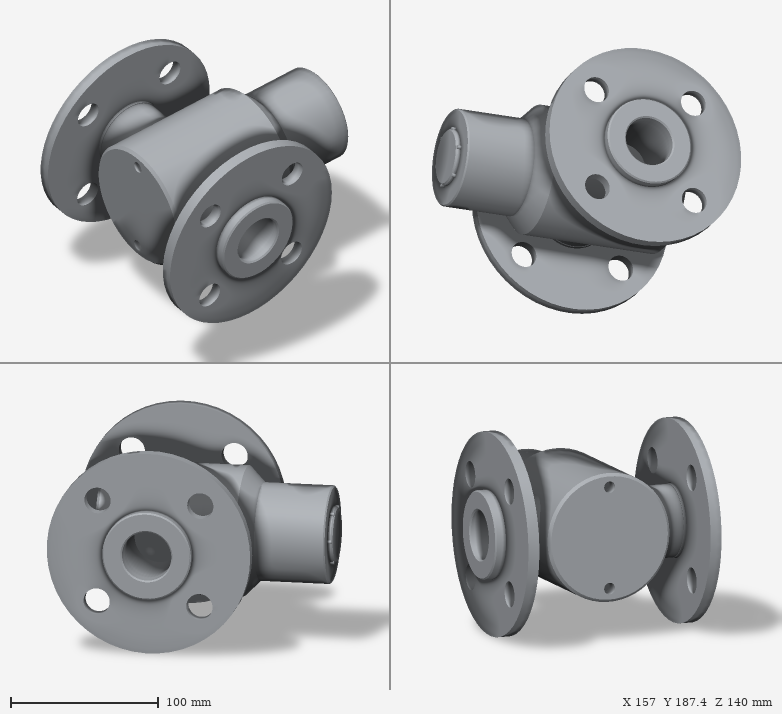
import cadquery as cq
import math

SIDES = (-1, 1)

barrel_diameter = 89.0
barrel_front_y = -42.0
barrel_back_y = 31.0
barrel_chamfer = 2.0
wrench_hole_diameter = 7.94
wrench_hole_offset = 35.0
wrench_hole_depth = 10.0

overall_length = 157.0
pipe_diameter = 50.0
bore_diameter = 34.0
bore_depth = 50.0

rim_diameter = 61.0
rim_thickness = 7.5
rim_chamfer = 1.0
neck_diameter = 51.0
neck_overhang = 1.75

flange_diameter = 140.0
flange_thickness = 8.0
flange_gap = 0.5
flange_bore_diameter = 51.5
bolt_circle_diameter = 100.0
bolt_hole_diameter = 18.0
bolt_hole_count = 4
bolt_start_angle = 44.5

housing_diameter = 67.0
shoulder_start_y = 55.0
housing_back_y = 114.4
housing_chamfer = 1.0

cap_diameter = 38.8
cap_thickness = 3.0
cap_chamfer = 1.2
peg_count = 6
peg_diameter = 2.7
peg_circle_diameter = cap_diameter
peg_height = 2.6

end_x = overall_length / 2
rim_inner_x = end_x - rim_thickness
flange_outer_x = rim_inner_x - flange_gap
flange_inner_x = flange_outer_x - flange_thickness
neck_inner_x = flange_inner_x - neck_overhang
bore_floor_x = end_x - bore_depth


def cylinder_along_x(side, start, end, diameter):
    """Cylinder on the X axis between two distances from the centre, on the given side."""
    plane = cq.Plane(origin=(side * start, 0, 0), xDir=(0, 1, 0), normal=(side, 0, 0))
    return cq.Workplane(plane).circle(diameter / 2).extrude(end - start)


def cylinder_along_y(start, end, diameter, x=0.0, z=0.0):
    """Cylinder parallel to the Y axis, running toward +Y from start to end."""
    plane = cq.Plane(origin=(x, start, z), xDir=(1, 0, 0), normal=(0, 1, 0))
    return cq.Workplane(plane).circle(diameter / 2).extrude(end - start)


def make_barrel_blank():
    """Plain barrel with its chamfered front edge."""
    blank = cylinder_along_y(barrel_front_y, barrel_back_y, barrel_diameter)
    return blank.faces("<Y").chamfer(barrel_chamfer)


def make_barrel():
    """Barrel with a flat-bottomed flow bore on each side and two wrench holes in its front face."""
    barrel = make_barrel_blank()
    for side in SIDES:
        barrel = barrel.cut(cylinder_along_x(side, bore_floor_x, end_x, bore_diameter))
        hole_end_y = barrel_front_y + wrench_hole_depth
        hole_z = side * wrench_hole_offset
        barrel = barrel.cut(cylinder_along_y(barrel_front_y, hole_end_y, wrench_hole_diameter, z=hole_z))
    return barrel


def make_pipe_end(side):
    """Pipe, neck and rim in one piece, bored through and saddled to sit on the barrel."""
    pipe = cylinder_along_x(side, bore_floor_x, neck_inner_x, pipe_diameter)
    neck = cylinder_along_x(side, neck_inner_x, rim_inner_x, neck_diameter)
    rim = cylinder_along_x(side, rim_inner_x, end_x, rim_diameter)
    bore = cylinder_along_x(side, bore_floor_x, end_x, bore_diameter)
    pipe_end = pipe.union(neck).union(rim).cut(bore)
    outer_face = ">X" if side > 0 else "<X"
    pipe_end = pipe_end.faces(outer_face).chamfer(rim_chamfer)
    return pipe_end.cut(make_barrel_blank())


def make_flange(side):
    """Loose flange with a clearance bore for the neck and a ring of bolt holes."""
    flange = cylinder_along_x(side, flange_inner_x, flange_outer_x, flange_diameter)
    flange = flange.cut(cylinder_along_x(side, flange_inner_x, flange_outer_x, flange_bore_diameter))
    bolt_holes = (
        cq.Workplane("YZ", origin=(side * flange_inner_x, 0, 0))
        .polarArray(bolt_circle_diameter / 2, bolt_start_angle, 360, bolt_hole_count)
        .circle(bolt_hole_diameter / 2)
        .extrude(side * flange_thickness)
    )
    return flange.cut(bolt_holes)


def make_housing():
    """Round housing that narrows from the barrel diameter over a 45 degree shoulder."""
    barrel_radius = barrel_diameter / 2
    housing_radius = housing_diameter / 2
    shoulder_end_y = shoulder_start_y + barrel_radius - housing_radius
    profile = (
        cq.Workplane("XY")
        .moveTo(0, barrel_back_y)
        .lineTo(barrel_radius, barrel_back_y)
        .lineTo(barrel_radius, shoulder_start_y)
        .lineTo(housing_radius, shoulder_end_y)
        .lineTo(housing_radius, housing_back_y)
        .lineTo(0, housing_back_y)
        .close()
    )
    housing = profile.revolve(360, (0, 0, 0), (0, 1, 0))
    return housing.faces(">Y").chamfer(housing_chamfer)


def make_cap():
    """Thin chamfered disc with evenly spaced pegs on its rim."""
    cap = cylinder_along_y(housing_back_y, housing_back_y + cap_thickness, cap_diameter)
    cap = cap.faces(">Y").chamfer(cap_chamfer)
    for index in range(peg_count):
        angle = math.radians(index * 360 / peg_count)
        peg = cylinder_along_y(
            housing_back_y,
            housing_back_y + peg_height,
            peg_diameter,
            x=peg_circle_diameter / 2 * math.cos(angle),
            z=peg_circle_diameter / 2 * math.sin(angle),
        )
        cap = cap.union(peg)
    return cap


barrel = make_barrel()
pipe_ends = [make_pipe_end(side) for side in SIDES]
flanges = [make_flange(side) for side in SIDES]
housing = make_housing()
cap = make_cap()

result = cq.Compound.makeCompound(
    [
        barrel.val(),
        *[pipe_end.val() for pipe_end in pipe_ends],
        *[flange.val() for flange in flanges],
        housing.val(),
        cap.val(),
    ]
)